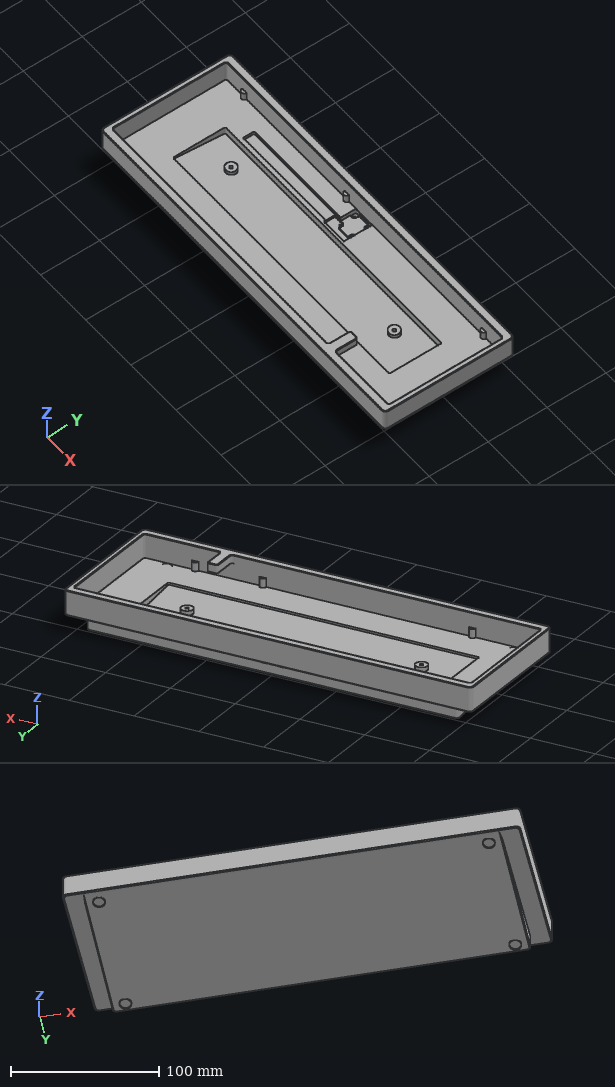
import cadquery as cq
import math

LENGTH = 314.8
WIDTH = 110.2
HEIGHT = 29.5
TRAY_HEIGHT = 19.0
CORNER_RADIUS = 3.0
RIM_CHAMFER = 0.5
BOTTOM_CHAMFER = 0.8

CAVITY_LENGTH = 306.3
CAVITY_WIDTH = 96.5
CAVITY_DEPTH = 18.0
CAVITY_RADIUS = 1.5

FOOT_LENGTH = 287.5
FOOT_BACK = 48.5
FOOT_SLOPE = 6.1
FOOT_RADIUS = 2.5
FOOT_CHAMFER = 0.8

POCKET_LENGTH = 239.8
POCKET_BACK = 22.0
POCKET_FRONT = -22.5
POCKET_RADIUS = 1.0
POCKET_FLOOR = 2.5

BOSS_SPACING = 181.0
BOSS_Y = 4.5
BOSS_DIAMETER = 9.0
BOSS_HOLE = 2.5
BOSS_HOLE_DEPTH = 3.0
BOSS_TOP = 19.2

PAD_DIAMETER = 8.2
PAD_DEPTH = 1.0
PAD_SPACING = 268.2
PAD_PLACES_Y = (-44.7, 42.5)

TAB_X = 90.0
TAB_WIDTH = 8.2
TAB_END = -29.3
TAB_THICKNESS = 6.3
TAB_TIP_RADIUS = 1.5
TAB_ROOT_RADIUS = 2.0

POST_RADIUS = 2.5
POST_TOP = 11.3
BACK_POSTS = (-133.0, -19.5, 132.5)
FRONT_POSTS = (-100.5, 61.5, 113.5)

BOARD_X = -0.3
BOARD_WIDTH = 18.0
BOARD_FRONT = 30.5
BOARD_DEPTH = 22.5
BOARD_RADIUS = 1.3
STEP_HEIGHT = 1.0
SCREW_SPACING = 13.2
SCREW_PLACES_Y = (33.5, 45.3)
SCREW_HOLE = 1.6
SCREW_HOLE_DEPTH = 2.8
NOTCH_WIDTH = 4.0
NOTCH_REACH = 4.7
NOTCH_RADIUS = 2.0

RELIEF_LEFT = -15.0
RELIEF_FRONT = 24.2
RELIEF_BACK = 35.0
RELIEF_RADIUS = 2.8
SLOT_LEFT = -105.0
SLOT_FRONT = 25.8
SLOT_BACK = 35.3
SLOT_DEPTH = 20.5
SLOT_RADIUS = 1.3

PORT_WIDTH = 9.5
PORT_HEIGHT = 3.0
PORT_DEPTH = 20.5

OVERLAP = 0.3
cavity_back = CAVITY_WIDTH / 2
cavity_front = -cavity_back
foot_rise = math.tan(math.radians(FOOT_SLOPE))
sharp_height = HEIGHT + FOOT_CHAMFER * math.sin(math.radians(FOOT_SLOPE))
foot_front = FOOT_BACK - (sharp_height - TRAY_HEIGHT) / foot_rise
board_left = BOARD_X - BOARD_WIDTH / 2
board_right = BOARD_X + BOARD_WIDTH / 2


def underside(y):
    """Height of the sloped underside of the foot at y."""
    return -sharp_height + (FOOT_BACK - y) * foot_rise


def block(x0, x1, y0, y1, z0, z1):
    return cq.Workplane("XY").box(x1 - x0, y1 - y0, z1 - z0, centered=False).translate((x0, y0, z0))


def prism(side_profile, length):
    """Extrude a (y, z) outline along X, centred on x = 0."""
    return cq.Workplane("YZ").polyline(side_profile).close().extrude(length / 2, both=True)


def cylinder(x, y, diameter, z0, z1):
    return cq.Workplane("XY", origin=(x, y, z0)).circle(diameter / 2).extrude(z1 - z0)


def make_tray():
    tray = block(-LENGTH / 2, LENGTH / 2, -WIDTH / 2, WIDTH / 2, -TRAY_HEIGHT, 0)
    tray = tray.edges("|Z").fillet(CORNER_RADIUS)
    return tray.faces("<Z").edges().chamfer(BOTTOM_CHAMFER)


def make_foot():
    """Wedge that reaches up into the tray floor, so that its thin end has some body."""
    profile = [
        (FOOT_BACK, -CAVITY_DEPTH),
        (FOOT_BACK, -sharp_height),
        (foot_front, -TRAY_HEIGHT),
        (foot_front, -CAVITY_DEPTH),
    ]
    foot = prism(profile, FOOT_LENGTH).edges("|Z and >Y").fillet(FOOT_RADIUS)
    return foot.faces("<Z").edges("not <Y").chamfer(FOOT_CHAMFER)


def make_cavity():
    cavity = block(-CAVITY_LENGTH / 2, CAVITY_LENGTH / 2, cavity_front, cavity_back, -CAVITY_DEPTH, 0)
    cavity = cavity.edges("|Z").fillet(CAVITY_RADIUS)
    tab_left = TAB_X - TAB_WIDTH / 2
    tab = block(tab_left, tab_left + TAB_WIDTH, cavity_front, TAB_END, -TAB_THICKNESS, 0)
    cavity = cavity.cut(tab.edges("|Z and >Y").fillet(TAB_TIP_RADIUS))
    root = cq.selectors.BoxSelector(
        (TAB_X - TAB_WIDTH, cavity_front - OVERLAP, -TAB_THICKNESS),
        (TAB_X + TAB_WIDTH, cavity_front + OVERLAP, 0),
    )
    return cavity.edges("|Z").edges(root).fillet(TAB_ROOT_RADIUS)


def make_sloped_pocket():
    profile = [
        (POCKET_BACK, -CAVITY_DEPTH),
        (POCKET_BACK, underside(POCKET_BACK) + POCKET_FLOOR),
        (POCKET_FRONT, underside(POCKET_FRONT) + POCKET_FLOOR),
        (POCKET_FRONT, -CAVITY_DEPTH),
    ]
    return prism(profile, POCKET_LENGTH).edges("|Z").fillet(POCKET_RADIUS)


def add_bosses(body):
    base = underside(BOSS_Y) + POCKET_FLOOR / 2
    for x in (-BOSS_SPACING / 2, BOSS_SPACING / 2):
        body = body.union(cylinder(x, BOSS_Y, BOSS_DIAMETER, base, -BOSS_TOP))
        body = body.cut(cylinder(x, BOSS_Y, BOSS_HOLE, -BOSS_TOP - BOSS_HOLE_DEPTH, -BOSS_TOP))
    return body


def cut_pad_recesses(body):
    for x in (-PAD_SPACING / 2, PAD_SPACING / 2):
        for y in PAD_PLACES_Y:
            plane = cq.Plane(origin=(x, y, underside(y)), xDir=(1, 0, 0), normal=(0, foot_rise, 1))
            body = body.cut(cq.Workplane(plane).circle(PAD_DIAMETER / 2).extrude(PAD_DEPTH))
    return body


def add_posts(body):
    places = [(x, cavity_back) for x in BACK_POSTS] + [(x, cavity_front) for x in FRONT_POSTS]
    for x, y in places:
        body = body.union(cylinder(x, y, 2 * POST_RADIUS, -CAVITY_DEPTH - OVERLAP, -POST_TOP))
    return body


def make_board_step():
    """Raised middle of the board pocket, notched at its corners around the four screws."""
    bottom = -BOARD_DEPTH - OVERLAP
    top = -BOARD_DEPTH + STEP_HEIGHT
    step = block(board_left, board_right, BOARD_FRONT, cavity_back, bottom, top)
    for x in (board_left, board_right):
        for y in (BOARD_FRONT, cavity_back):
            notch = cq.Workplane("XY", origin=(x, y, bottom)).rect(2 * NOTCH_WIDTH, 2 * NOTCH_REACH)
            step = step.cut(notch.extrude(top - bottom).edges("|Z").fillet(NOTCH_RADIUS))
    return step


def cut_board_pocket(body):
    slot = block(SLOT_LEFT, board_left, SLOT_FRONT, SLOT_BACK, -SLOT_DEPTH, -CAVITY_DEPTH)
    relief = block(RELIEF_LEFT, board_right, RELIEF_FRONT, RELIEF_BACK, -BOARD_DEPTH, -CAVITY_DEPTH)
    board = block(board_left, board_right, BOARD_FRONT, cavity_back, -BOARD_DEPTH, -CAVITY_DEPTH)
    body = body.cut(slot.edges("|Z and <X and >Y").fillet(SLOT_RADIUS))
    body = body.cut(relief.edges("|Z and <X and <Y").fillet(RELIEF_RADIUS))
    body = body.cut(board.edges("|Z and >Y").fillet(BOARD_RADIUS))
    body = body.union(make_board_step())
    for x in (BOARD_X - SCREW_SPACING / 2, BOARD_X + SCREW_SPACING / 2):
        for y in SCREW_PLACES_Y:
            body = body.cut(cylinder(x, y, SCREW_HOLE, -BOARD_DEPTH - SCREW_HOLE_DEPTH, -BOARD_DEPTH))
    return body


def make_port():
    start = (BOARD_X, cavity_back - OVERLAP, -PORT_DEPTH)
    port = cq.Workplane("XZ", origin=start).slot2D(PORT_WIDTH, PORT_HEIGHT)
    return port.extrude(-(WIDTH / 2 - cavity_back + 2 * OVERLAP))


body = make_tray().union(make_foot()).cut(make_cavity())
body = body.faces(">Z").edges().chamfer(RIM_CHAMFER)
body = body.cut(make_sloped_pocket())
body = add_bosses(body)
body = cut_pad_recesses(body)
body = add_posts(body)
body = cut_board_pocket(body)
result = body.cut(make_port())